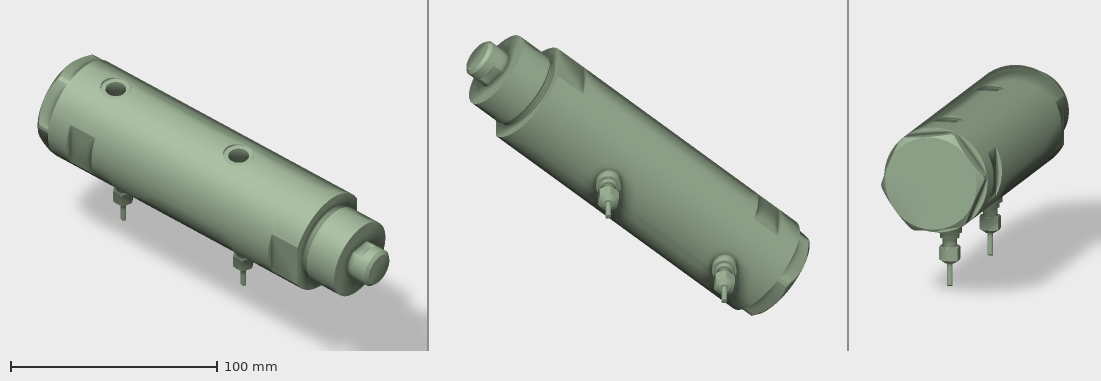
import cadquery as cq
import math

total_length = 194.0
outer_radius = 26.0
wrench_width = 46.0
flat_distance = wrench_width / 2
hex_half_angle = math.radians(30)

cap_hex_end = 9.0
barrel_start = 10.7
cap_spigot_end = 35.0
gland_spigot_start = 109.6
gland_start = 146.0
gland_shoulder = 161.8
thread_start = 165.0
gland_end = 182.0

cap_chamfer = 3.1
cap_corner_angle = 7.1

bore_radius = 16.0
gland_seat_radius = 21.3
barrel_flat_start = 20.5
barrel_flat_end = 35.9
port_positions = (30.3, 106.7)
port_radius = 5.0
spotface_radius = 7.5
spotface_depth = 1.2

thread_radius = 20.0
thread_chamfer = 1.0
neck_radius = 19.0
neck_fillet = 0.5

rod_diameter = 19.2
rod_radius = rod_diameter / 2
rod_chamfer = 1.5
rod_flat_distance = 8.1
rod_flat_end = 187.8

sensor_positions = (35.0, 109.6)
boss_end = -27.2
collar_radius = 6.0
collar_end = -31.0
step_radius = 4.7
step_end = -33.8
stem_radius = 3.5
nut_top = -37.8
nut_width = 9.3
nut_side_end = -44.5
nut_end = -46.4
nut_end_radius = 2.3
nut_top_chamfer = 0.5
cable_radius = 1.4
cable_end = -58.2
cable_cut_rise = 1.2


def shaft(radius, start, end):
    """Solid cylinder about the X axis."""
    return cq.Workplane("YZ").workplane(offset=start).circle(radius).extrude(end - start)


def post(radius, x, top, bottom):
    """Solid cylinder along Z at the given X."""
    return cq.Workplane("XY", origin=(x, 0, bottom)).circle(radius).extrude(top - bottom)


def slab_between_flats(distance, start, end, along="Y"):
    """Block whose two faces normal to the given direction lie at +-distance from the axis."""
    wide = 4 * outer_radius
    size_y, size_z = (2 * distance, wide) if along == "Y" else (wide, 2 * distance)
    return cq.Workplane("XY").box(end - start, size_y, size_z).translate(((start + end) / 2, 0, 0))


def make_end_cap():
    hex_corner_diameter = wrench_width / math.cos(hex_half_angle)
    hexagon = cq.Workplane("YZ").polygon(6, hex_corner_diameter).extrude(cap_hex_end)
    hexagon = hexagon.rotate((0, 0, 0), (1, 0, 0), -cap_corner_angle)
    turned_blank = shaft(outer_radius, 0, cap_hex_end).faces("<X").chamfer(cap_chamfer)
    flange = shaft(outer_radius, cap_hex_end, barrel_start)
    spigot = shaft(bore_radius, barrel_start, cap_spigot_end)
    return hexagon.intersect(turned_blank).union(flange).union(spigot)


def make_barrel():
    barrel = shaft(outer_radius, barrel_start, gland_start)
    flat_band = shaft(outer_radius, barrel_flat_start, barrel_flat_end)
    barrel = barrel.cut(flat_band.cut(slab_between_flats(flat_distance, barrel_flat_start, barrel_flat_end)))
    for x in sensor_positions:
        barrel = barrel.union(post(collar_radius, x, -bore_radius, boss_end))
    barrel = barrel.cut(shaft(bore_radius, barrel_start, gland_start))
    barrel = barrel.cut(shaft(gland_seat_radius, gland_spigot_start, gland_start))
    for x in port_positions:
        barrel = barrel.cut(post(port_radius, x, outer_radius, 0))
        barrel = barrel.cut(post(spotface_radius, x, outer_radius, outer_radius - spotface_depth))
    return barrel


def make_gland():
    head = shaft(outer_radius, gland_start, gland_shoulder)
    head = head.intersect(slab_between_flats(flat_distance, gland_start, gland_shoulder))
    neck = shaft(neck_radius, gland_shoulder, thread_start)
    thread = shaft(thread_radius, thread_start - thread_chamfer, gland_end).faces("<X").chamfer(thread_chamfer)
    spigot = shaft(gland_seat_radius, gland_spigot_start, gland_start)
    gland = spigot.union(head).union(neck).union(thread)
    neck_root = cq.selectors.BoxSelector(
        (gland_shoulder - neck_fillet / 2, -outer_radius, -outer_radius),
        (gland_shoulder + neck_fillet / 2, outer_radius, outer_radius),
    )
    gland = gland.edges(neck_root).edges(cq.selectors.RadiusNthSelector(0)).fillet(neck_fillet)
    return gland.cut(shaft(rod_radius, gland_spigot_start, gland_end))


def make_piston_rod():
    rod = shaft(rod_radius, cap_spigot_end, total_length).faces(">X").chamfer(rod_chamfer)
    flat_band = shaft(rod_radius, gland_end, rod_flat_end)
    return rod.cut(flat_band.cut(slab_between_flats(rod_flat_distance, gland_end, rod_flat_end, "Z")))


def make_sensor_nut(x):
    """Hexagon nut with corners toward +-X, chamfered on top and tapered below."""
    corner_radius = nut_width / 2 / math.cos(hex_half_angle)
    height = nut_top - nut_end
    hexagon = cq.Workplane("XY", origin=(x, 0, nut_end)).polygon(6, 2 * corner_radius).extrude(height)
    envelope = (
        cq.Workplane("XZ", origin=(x, 0, 0))
        .moveTo(0, nut_top)
        .lineTo(corner_radius - nut_top_chamfer, nut_top)
        .lineTo(corner_radius, nut_top - nut_top_chamfer)
        .lineTo(corner_radius, nut_side_end)
        .lineTo(nut_end_radius, nut_end)
        .lineTo(0, nut_end)
        .close()
        .revolve(360, (0, 0, 0), (0, 1, 0))
    )
    return hexagon.intersect(envelope)


def make_cable(x):
    """Cable with a slanted end, lowest on its +X side."""
    slanted_side = (
        cq.Workplane("XZ")
        .moveTo(x - cable_radius, nut_end)
        .lineTo(x + cable_radius, nut_end)
        .lineTo(x + cable_radius, cable_end)
        .lineTo(x - cable_radius, cable_end + cable_cut_rise)
        .close()
        .extrude(cable_radius, both=True)
    )
    return post(cable_radius, x, nut_end, cable_end).intersect(slanted_side)


def make_sensor(x):
    collar = post(collar_radius, x, boss_end, collar_end)
    step = post(step_radius, x, collar_end, step_end)
    stem = post(stem_radius, x, step_end, nut_top)
    return collar.union(step).union(stem).union(make_sensor_nut(x)).union(make_cable(x))


end_cap = make_end_cap()
barrel = make_barrel()
gland = make_gland()
piston_rod = make_piston_rod()
sensors = [make_sensor(x) for x in sensor_positions]

result = cq.Compound.makeCompound(
    [end_cap.val(), barrel.val(), gland.val(), piston_rod.val(), *[sensor.val() for sensor in sensors]]
)